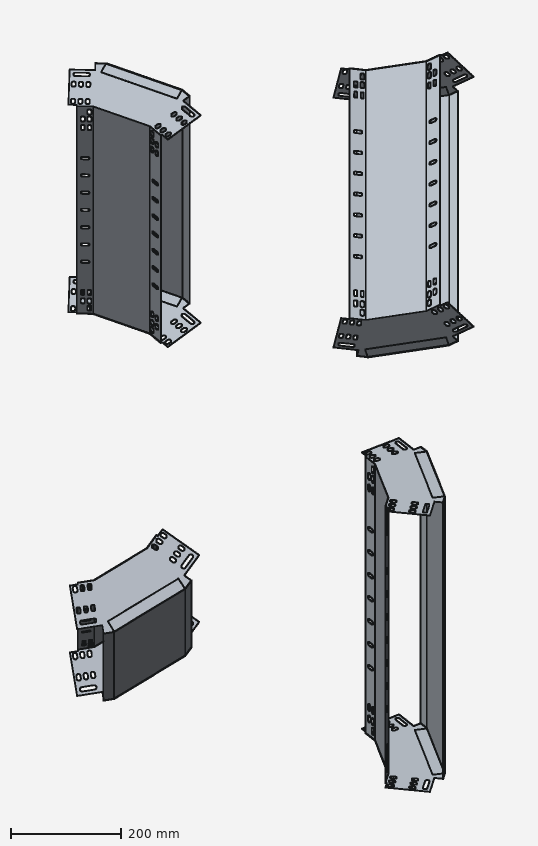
import cadquery as cq
import math

HEIGHT = 603.0
SHEET = 0.7
DEPTH = 101.5
BEND_ANGLE = 22.5
SLOPE = math.radians(BEND_ANGLE)
MITRE = math.tan(SLOPE / 2)

PANEL_HALF_WIDTH = 56.0
FLAP_LENGTH = 30.0
WING_REACH = 45.0
WING_BOTTOM = 3.0
WING_TOP = 85.0
NECK_REACH = -1.0

COVER_HALF_WIDTH = PANEL_HALF_WIDTH + DEPTH * MITRE
LIP_REACH = -0.5
TAB_HALF_WIDTH = 75.5
TAB_DEPTH = 23.0

WING_HOLE_COUNT = 3
FIRST_WING_HOLE = 10.0
WING_HOLE_PITCH = 13.0
LOW_ROW = 11.5
HIGH_ROW = 51.0
WING_HOLE_LENGTH = 12.0
WING_HOLE_WIDTH = 7.0
LONG_SLOT_REACH = 23.0
LONG_SLOT_ROW = 74.0
LONG_SLOT_LENGTH = 30.0
LONG_SLOT_WIDTH = 8.0

FLAP_INNER_COLUMN = 6.5
FLAP_OUTER_COLUMN = 19.0
FLAP_HOLE_LENGTH = 15.0
WIDE_HOLE_WIDTH = 7.0
NARROW_HOLE_WIDTH = 6.0
TOP_DROP = 17.5
MIDDLE_DROP = 38.0
LOW_DROP = 63.0

CROSS_SLOT_COUNT = 7
CROSS_SLOT_PITCH = 50.0
CROSS_SLOT_REACH = 14.5
CROSS_SLOT_LENGTH = 15.5
CROSS_SLOT_WIDTH = 7.0

TRAY_HALF_HEIGHT = HEIGHT / 2 - SHEET
CUT_DEPTH = 4 * SHEET


def sloped(reach, rise):
    """Point given along the right flap from its bend, and square to its outer face."""
    x = PANEL_HALF_WIDTH + reach * math.cos(SLOPE) + rise * math.sin(SLOPE)
    y = rise * math.cos(SLOPE) - reach * math.sin(SLOPE)
    return (x, y)


def symmetric_prism(right_points, bottom, top):
    """Prism between two heights whose outline is the right half and its mirror image."""
    left_points = [(-x, y) for x, y in reversed(right_points)]
    outline = cq.Workplane("XY").workplane(offset=bottom).polyline(right_points + left_points)
    return outline.close().extrude(top - bottom)


def with_mirror(cutter):
    """A cutter together with its copy on the left side."""
    return cutter.union(cutter.mirror("YZ"))


def folded_strip(depth_outer, depth_inner, reach, half_height):
    """Flat panel with a sloping edge on each side, between two depths."""
    points = [
        (PANEL_HALF_WIDTH + depth_outer * MITRE, depth_outer),
        sloped(reach, depth_outer),
        sloped(reach, depth_inner),
        (PANEL_HALF_WIDTH + depth_inner * MITRE, depth_inner),
    ]
    return symmetric_prism(points, -half_height, half_height)


def end_plate(bottom):
    """Flat plate closing one end, with a wing on each side that reaches past the flap."""
    points = [
        (PANEL_HALF_WIDTH, 0),
        sloped(FLAP_LENGTH, 0),
        sloped(FLAP_LENGTH, WING_BOTTOM),
        sloped(WING_REACH, WING_BOTTOM),
        sloped(WING_REACH, WING_TOP),
        sloped(NECK_REACH, WING_TOP),
        sloped(NECK_REACH, DEPTH - SHEET),
        (COVER_HALF_WIDTH - SHEET * MITRE, DEPTH - SHEET),
    ]
    return symmetric_prism(points, bottom, bottom + SHEET)


def wing_slot(reach, rise, length, width, turn):
    """Cutter for a slot through both end plates; turn is its direction from the flap."""
    cutter = cq.Workplane("XY").slot2D(length, width, turn - BEND_ANGLE)
    return cutter.extrude(HEIGHT / 2, both=True).translate((*sloped(reach, rise), 0))


def flap_slot(reach, z, length, width, turn):
    """Cutter for a slot through the right flap; turn is its direction from the horizontal."""
    x, y = sloped(reach, 0)
    flap_face = cq.Plane(
        origin=(x, y, z),
        xDir=(math.cos(SLOPE), -math.sin(SLOPE), 0),
        normal=(-math.sin(SLOPE), -math.cos(SLOPE), 0),
    )
    return cq.Workplane(flap_face).slot2D(length, width, turn).extrude(CUT_DEPTH, both=True)


def tray():
    """Front panel with flaps and both end plates, pierced by all the holes."""
    body = folded_strip(0, SHEET, FLAP_LENGTH, TRAY_HALF_HEIGHT)
    for bottom in (TRAY_HALF_HEIGHT - SHEET, -TRAY_HALF_HEIGHT):
        body = body.union(end_plate(bottom))

    for index in range(WING_HOLE_COUNT):
        reach = FIRST_WING_HOLE + index * WING_HOLE_PITCH
        for row in (LOW_ROW, HIGH_ROW):
            body = body.cut(with_mirror(wing_slot(reach, row, WING_HOLE_LENGTH, WING_HOLE_WIDTH, 90)))
    long_slot = wing_slot(LONG_SLOT_REACH, LONG_SLOT_ROW, LONG_SLOT_LENGTH, LONG_SLOT_WIDTH, 0)
    body = body.cut(with_mirror(long_slot))

    upright_holes = [
        (FLAP_INNER_COLUMN, TOP_DROP, WIDE_HOLE_WIDTH),
        (FLAP_INNER_COLUMN, MIDDLE_DROP, WIDE_HOLE_WIDTH),
        (FLAP_OUTER_COLUMN, MIDDLE_DROP, WIDE_HOLE_WIDTH),
        (FLAP_INNER_COLUMN, LOW_DROP, NARROW_HOLE_WIDTH),
        (FLAP_OUTER_COLUMN, LOW_DROP, NARROW_HOLE_WIDTH),
    ]
    for column, drop, width in upright_holes:
        for end in (1, -1):
            z = end * (HEIGHT / 2 - drop)
            body = body.cut(with_mirror(flap_slot(column, z, FLAP_HOLE_LENGTH, width, 90)))

    for index in range(CROSS_SLOT_COUNT):
        z = (index - (CROSS_SLOT_COUNT - 1) / 2) * CROSS_SLOT_PITCH
        slot = flap_slot(CROSS_SLOT_REACH, z, CROSS_SLOT_LENGTH, CROSS_SLOT_WIDTH, 0)
        body = body.cut(with_mirror(slot))
    return body


def cover():
    """Back panel with lips, and a tab at each end lying on the outside of the end plate."""
    body = folded_strip(DEPTH, DEPTH - SHEET, LIP_REACH, TRAY_HALF_HEIGHT)
    tab_points = [(TAB_HALF_WIDTH, DEPTH - TAB_DEPTH), (TAB_HALF_WIDTH, DEPTH)]
    for bottom in (TRAY_HALF_HEIGHT, -HEIGHT / 2):
        body = body.union(symmetric_prism(tab_points, bottom, bottom + SHEET))
    return body


result = cq.Compound.makeCompound([tray().val(), cover().val()])